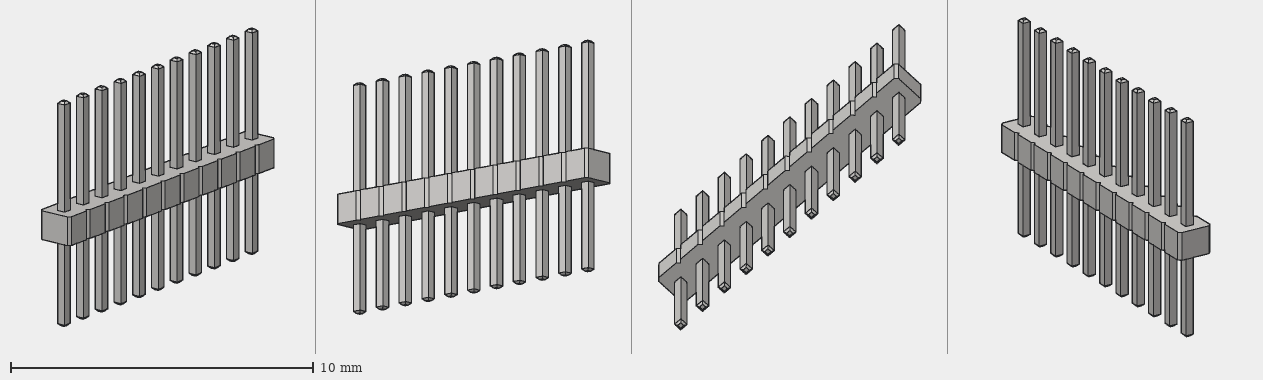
import cadquery as cq


strip_length = 11
strip_width = 1.26
strip_height = 1.0
corner_cut = 0.1

pin_count = 11
pin_width = 0.3
pin_tip_cut = 0.08
pin_length = 7.8
pin_length_below = 3.0

pitch = strip_length / pin_count
first_pin_y = (pitch - strip_length) / 2


def make_strip_segment():
    """One pitch of the strip; chamfered corners of neighbours form the V notches."""
    segment = cq.Workplane("XY").box(strip_width, pitch, strip_height, centered=(True, True, False))
    return segment.edges("|Z").chamfer(corner_cut)


def make_pin():
    """Square pin with a bevelled tip at both ends."""
    pin = (
        cq.Workplane("XY")
        .workplane(offset=-pin_length_below)
        .rect(pin_width, pin_width)
        .extrude(pin_length)
    )
    return pin.faces("<Z or >Z").chamfer(pin_tip_cut)


position = make_strip_segment().union(make_pin()).translate((0, first_pin_y, 0))

result = position
for index in range(1, pin_count):
    result = result.union(position.translate((0, index * pitch, 0)))
result = result.clean()